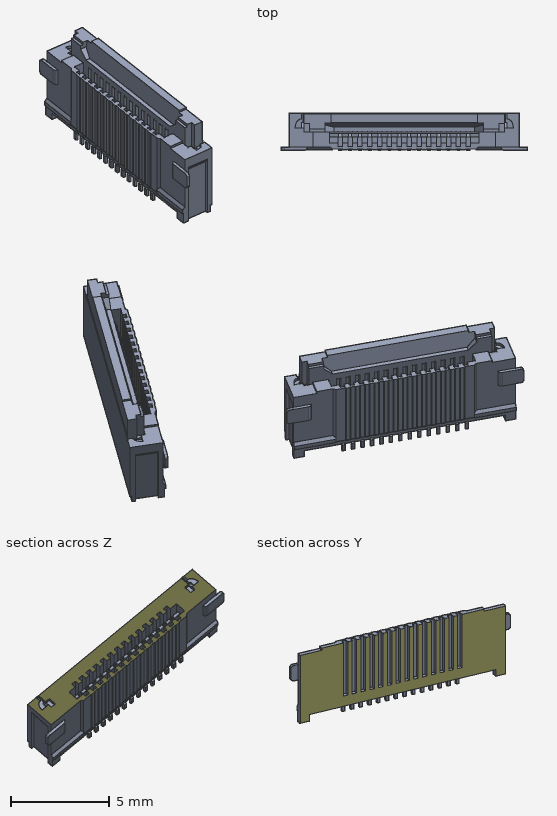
import cadquery as cq


HOUSING_WIDTH = 11.7
HOUSING_DEPTH = 1.73
HOUSING_BASE_Z = 0.38
HOUSING_TOP_Z = 3.95
FOOT_WIDTH = 0.55
FOOT_BACK = 0.11
BASE_FRONT = 1.81
BASE_TOP_Z = 0.61

FRONT_PANEL_DEPTH = 1.835
FRONT_PANEL_WIDTH = 7.29
FRONT_PANEL_BASE_WIDTH = 7.54
FRONT_WALL_TOP_Z = 4.07
RAISED_WALL_WIDTH = 9.25

LEDGE_DEPTH = 1.875
LEDGE_FACE_TOP_Z = 0.83
LEDGE_TOP_Z = 0.99

END_RECESS_BACK = 0.3
END_RECESS_FRONT = 1.48
END_RECESS_DEPTH = 0.16
END_RECESS_TOP_Z = 3.37
END_RECESS_SLOPE_Z = 3.12

CAVITY_WIDTH = 7.6
CAVITY_FRONT = 1.51
CAVITY_FLOOR_Z = 2.0
SILL_BACK = 1.05
SILL_SLOPE_END = 1.18
SILL_FRONT = 1.22
SILL_TOP_Z = 3.2
SILL_DROP = 0.015

CONTACT_COUNT = 14
CONTACT_PITCH = 0.5
CONTACT_SLOT_WIDTH = 0.23
CONTACT_SLOT_FRONT = 1.7
CONTACT_SLOT_FLOOR_Z = 1.0
CONTACT_TIP_RISE = 0.2
PIN_WIDTH = 0.16
PIN_BACK = 1.75
PIN_FRONT = 1.9
PIN_TOP_Z = 0.43
PIN_SHOULDER_Z = 0.39
PIN_BOTTOM_Z = -0.035
PIN_EDGE_RADIUS = 0.06

RIDGE_BASE_WIDTH = 0.29
RIDGE_TOP_WIDTH = 0.19
RIDGE_HEIGHT = 0.03

ACTUATOR_WIDTH = 10.16
ACTUATOR_BODY_WIDTH = 9.63
ACTUATOR_BACK = 0.045
ACTUATOR_FRONT = 0.95
ACTUATOR_EAR_FRONT = 0.53
ACTUATOR_TOP_Z = 5.16
ACTUATOR_STEP_Z = 5.01
ACTUATOR_STEP_DEPTH = 0.8
CREST_WIDTH = 7.45
CREST_TOP_Z = 5.265
CREST_FRONT = 0.49
NOTCH_TOP_WIDTH = 8.05
NOTCH_BOTTOM_WIDTH = 7.15
NOTCH_CORNER_Z = 4.8
NOTCH_BOTTOM_Z = 4.37
NOTCH_BOTTOM_DEPTH = 0.71
COMB_SLOT_DEPTH = 0.25
COMB_SLOT_TOP_Z = 4.0

POCKET_DEPTH = 0.15
PIVOT_WELL_DEPTH = 0.3
PIVOT_WELL_FRONT = 0.48
PIVOT_WELL_OUTER_X = 5.15
POCKET_BACK = 0.3
POCKET_FRONT = 0.75
POCKET_OUTER_X = 5.54
POCKET_GAP_X = 5.23

TAB_OUTER_X = 6.25
TAB_BEND_X = 5.11
TAB_INNER_X = 4.92
TAB_FRONT = 1.9
TAB_BOTTOM_Z = 2.415
TAB_TOP_Z = 3.31
TAB_CORNER_RADIUS = 0.17


def box(x_min, x_max, depth_back, depth_front, z_min, z_max):
    size = (x_max - x_min, depth_front - depth_back, z_max - z_min)
    return cq.Workplane("XY").box(*size, centered=False).translate((x_min, -depth_front, z_min))


def centred_box(width, depth_back, depth_front, z_min, z_max):
    return box(-width / 2, width / 2, depth_back, depth_front, z_min, z_max)


def plan_prism(points, z_min, z_max):
    """Upright prism from an (x, depth) outline."""
    outline = [(x, -depth) for x, depth in points]
    return cq.Workplane("XY").workplane(offset=z_min).polyline(outline).close().extrude(z_max - z_min)


def side_prism(points, x_min, x_max):
    """Prism along X from a (depth, z) outline."""
    outline = [(-depth, z) for depth, z in points]
    return cq.Workplane("YZ").workplane(offset=x_min).polyline(outline).close().extrude(x_max - x_min)


def both_ends(shape):
    return shape.union(shape.mirror("YZ"))


contact_xs = [(i - (CONTACT_COUNT - 1) / 2) * CONTACT_PITCH for i in range(CONTACT_COUNT)]
half_width = HOUSING_WIDTH / 2


def make_housing():
    housing = centred_box(HOUSING_WIDTH, 0, HOUSING_DEPTH, HOUSING_BASE_Z, HOUSING_TOP_Z)
    base = centred_box(HOUSING_WIDTH, FOOT_BACK, BASE_FRONT, HOUSING_BASE_Z, BASE_TOP_Z)
    foot = box(half_width - FOOT_WIDTH, half_width, FOOT_BACK, BASE_FRONT, 0, HOUSING_BASE_Z)
    raised_wall = centred_box(RAISED_WALL_WIDTH, ACTUATOR_FRONT, HOUSING_DEPTH, BASE_TOP_Z, FRONT_WALL_TOP_Z)
    panel = plan_prism(
        [
            (-FRONT_PANEL_BASE_WIDTH / 2, HOUSING_DEPTH),
            (-FRONT_PANEL_WIDTH / 2, FRONT_PANEL_DEPTH),
            (FRONT_PANEL_WIDTH / 2, FRONT_PANEL_DEPTH),
            (FRONT_PANEL_BASE_WIDTH / 2, HOUSING_DEPTH),
        ],
        BASE_TOP_Z,
        FRONT_WALL_TOP_Z,
    )
    ledge = side_prism(
        [
            (HOUSING_DEPTH, BASE_TOP_Z),
            (LEDGE_DEPTH, BASE_TOP_Z),
            (LEDGE_DEPTH, LEDGE_FACE_TOP_Z),
            (HOUSING_DEPTH, LEDGE_TOP_Z),
        ],
        FRONT_PANEL_WIDTH / 2,
        half_width,
    )
    return housing.union(base).union(both_ends(foot)).union(raised_wall).union(panel).union(both_ends(ledge))


def make_end_recess():
    """Shallow recess in the +X end, open at the bottom and with a sloping ceiling."""
    floor_x = half_width - END_RECESS_DEPTH
    outline = [
        (floor_x, 0),
        (half_width, 0),
        (half_width, END_RECESS_TOP_Z),
        (floor_x, END_RECESS_SLOPE_Z),
    ]
    recess = cq.Workplane("XZ").polyline(outline).close().extrude(END_RECESS_FRONT - END_RECESS_BACK)
    return recess.translate((0, -END_RECESS_BACK, 0))


def make_pivot_pocket():
    """Round-cornered pocket in the housing top beside the +X end of the actuator."""
    inner_x = ACTUATOR_WIDTH / 2
    floor_z = HOUSING_TOP_Z - POCKET_DEPTH
    arc_x_radius = POCKET_OUTER_X - POCKET_GAP_X
    arc_y_radius = POCKET_FRONT - POCKET_BACK
    corner = (
        cq.Workplane("XY")
        .workplane(offset=floor_z)
        .center(POCKET_GAP_X, -POCKET_FRONT)
        .ellipse(arc_x_radius, arc_y_radius)
        .extrude(POCKET_DEPTH)
        .intersect(box(POCKET_GAP_X, POCKET_OUTER_X, POCKET_BACK, POCKET_FRONT, floor_z, HOUSING_TOP_Z))
    )
    gap = box(inner_x, POCKET_GAP_X, 0, POCKET_FRONT, floor_z, HOUSING_TOP_Z)
    well_z = HOUSING_TOP_Z - PIVOT_WELL_DEPTH
    well = box(inner_x, PIVOT_WELL_OUTER_X, ACTUATOR_BACK, PIVOT_WELL_FRONT, well_z, floor_z)
    ramp = side_prism(
        [(PIVOT_WELL_FRONT, floor_z), (PIVOT_WELL_FRONT, well_z), (POCKET_FRONT, floor_z)],
        inner_x,
        POCKET_GAP_X,
    )
    ear_clearance = box(
        ACTUATOR_BODY_WIDTH / 2, inner_x, ACTUATOR_EAR_FRONT, ACTUATOR_FRONT, well_z, HOUSING_TOP_Z
    )
    return gap.union(corner).union(well).union(ramp).union(ear_clearance)


def make_actuator():
    body = centred_box(ACTUATOR_BODY_WIDTH, ACTUATOR_BACK, ACTUATOR_FRONT, CAVITY_FLOOR_Z, ACTUATOR_TOP_Z)
    ears = centred_box(ACTUATOR_WIDTH, ACTUATOR_BACK, ACTUATOR_EAR_FRONT, CAVITY_FLOOR_Z, ACTUATOR_TOP_Z)
    crest = centred_box(CREST_WIDTH, ACTUATOR_BACK, ACTUATOR_FRONT, ACTUATOR_TOP_Z, CREST_TOP_Z)
    step = centred_box(
        ACTUATOR_BODY_WIDTH, ACTUATOR_STEP_DEPTH, ACTUATOR_FRONT, ACTUATOR_STEP_Z, ACTUATOR_TOP_Z
    )
    notch_outline = (
        cq.Workplane("XZ")
        .polyline(
            [
                (-NOTCH_TOP_WIDTH / 2, CREST_TOP_Z),
                (-NOTCH_TOP_WIDTH / 2, NOTCH_CORNER_Z),
                (-NOTCH_BOTTOM_WIDTH / 2, NOTCH_BOTTOM_Z),
                (NOTCH_BOTTOM_WIDTH / 2, NOTCH_BOTTOM_Z),
                (NOTCH_TOP_WIDTH / 2, NOTCH_CORNER_Z),
                (NOTCH_TOP_WIDTH / 2, CREST_TOP_Z),
            ]
        )
        .close()
        .extrude(ACTUATOR_FRONT)
    )
    space_before_slope = side_prism(
        [
            (CREST_FRONT, CREST_TOP_Z),
            (ACTUATOR_FRONT, CREST_TOP_Z),
            (ACTUATOR_FRONT, NOTCH_BOTTOM_Z),
            (NOTCH_BOTTOM_DEPTH, NOTCH_BOTTOM_Z),
        ],
        -NOTCH_TOP_WIDTH / 2,
        NOTCH_TOP_WIDTH / 2,
    )
    notch = notch_outline.intersect(space_before_slope)
    return body.union(ears).union(crest).cut(step).cut(notch)


def make_comb_slot(x):
    """Slot in the actuator front for one contact."""
    comb_back = ACTUATOR_FRONT - COMB_SLOT_DEPTH
    half_slot = CONTACT_SLOT_WIDTH / 2
    return box(x - half_slot, x + half_slot, comb_back, ACTUATOR_FRONT, CAVITY_FLOOR_Z, COMB_SLOT_TOP_Z)


def make_wall_slot(x):
    """Slot behind the front wall for one contact, deeper than the cavity floor."""
    half_slot = CONTACT_SLOT_WIDTH / 2
    return box(
        x - half_slot,
        x + half_slot,
        SILL_FRONT,
        CONTACT_SLOT_FRONT,
        CONTACT_SLOT_FLOOR_Z,
        FRONT_WALL_TOP_Z,
    )


def make_contact_tip(x):
    """Contact end in the cavity, sloping up toward the front wall."""
    outline = [
        (SILL_BACK, SILL_TOP_Z),
        (SILL_FRONT, SILL_TOP_Z + CONTACT_TIP_RISE),
        (SILL_FRONT, SILL_TOP_Z - SILL_DROP),
        (SILL_BACK, SILL_TOP_Z - SILL_DROP),
    ]
    return side_prism(outline, x - PIN_WIDTH / 2, x + PIN_WIDTH / 2)


def make_pin(x):
    """Contact leg with a sloping top and a rounded lower front edge."""
    outline = [
        (PIN_BACK, PIN_BOTTOM_Z),
        (PIN_FRONT, PIN_BOTTOM_Z),
        (PIN_FRONT, PIN_SHOULDER_Z),
        (BASE_FRONT, PIN_TOP_Z),
        (PIN_BACK, PIN_TOP_Z),
    ]
    pin = side_prism(outline, x - PIN_WIDTH / 2, x + PIN_WIDTH / 2)
    return pin.edges("|X and <Y and <Z").fillet(PIN_EDGE_RADIUS)


def make_ridge(x):
    outline = [
        (x - RIDGE_BASE_WIDTH / 2, FRONT_PANEL_DEPTH),
        (x - RIDGE_TOP_WIDTH / 2, FRONT_PANEL_DEPTH + RIDGE_HEIGHT),
        (x + RIDGE_TOP_WIDTH / 2, FRONT_PANEL_DEPTH + RIDGE_HEIGHT),
        (x + RIDGE_BASE_WIDTH / 2, FRONT_PANEL_DEPTH),
    ]
    return plan_prism(outline, BASE_TOP_Z, FRONT_WALL_TOP_Z)


def make_tab():
    """Solder tab at the +X end, bent back into the front of the housing."""
    bend = (
        cq.Workplane("XY")
        .workplane(offset=TAB_BOTTOM_Z)
        .center(TAB_BEND_X, -HOUSING_DEPTH)
        .ellipse(TAB_BEND_X - TAB_INNER_X, TAB_FRONT - HOUSING_DEPTH)
        .extrude(TAB_TOP_Z - TAB_BOTTOM_Z)
        .intersect(box(TAB_INNER_X, TAB_BEND_X, HOUSING_DEPTH, TAB_FRONT, TAB_BOTTOM_Z, TAB_TOP_Z))
    )
    plate = box(TAB_BEND_X, TAB_OUTER_X, HOUSING_DEPTH, TAB_FRONT, TAB_BOTTOM_Z, TAB_TOP_Z)
    return plate.edges("|Y and >X").fillet(TAB_CORNER_RADIUS).union(bend)


def at_each(make_feature, xs):
    """Separate copies of a feature at every x, gathered so that they are joined or cut at once."""
    return cq.Workplane(cq.Compound.makeCompound([make_feature(x).val() for x in xs]))


def make_sill():
    outline = [
        (SILL_BACK, CAVITY_FLOOR_Z),
        (SILL_BACK, SILL_TOP_Z),
        (SILL_SLOPE_END, SILL_TOP_Z - SILL_DROP),
        (SILL_FRONT, SILL_TOP_Z - SILL_DROP),
        (SILL_FRONT, CAVITY_FLOOR_Z),
    ]
    return side_prism(outline, -CAVITY_WIDTH / 2, CAVITY_WIDTH / 2)


ridge_xs = [x + CONTACT_PITCH / 2 for x in contact_xs[:-1]]

housing = make_housing().cut(both_ends(make_end_recess())).cut(both_ends(make_pivot_pocket()))
cavity = centred_box(CAVITY_WIDTH, ACTUATOR_FRONT, CAVITY_FRONT, CAVITY_FLOOR_Z, FRONT_WALL_TOP_Z)
result = housing.union(make_actuator()).cut(cavity)
result = result.cut(at_each(make_comb_slot, contact_xs)).cut(at_each(make_wall_slot, contact_xs))
result = result.union(make_sill()).union(at_each(make_contact_tip, contact_xs))
result = result.union(at_each(make_pin, contact_xs)).union(at_each(make_ridge, ridge_xs))
result = result.union(both_ends(make_tab()))